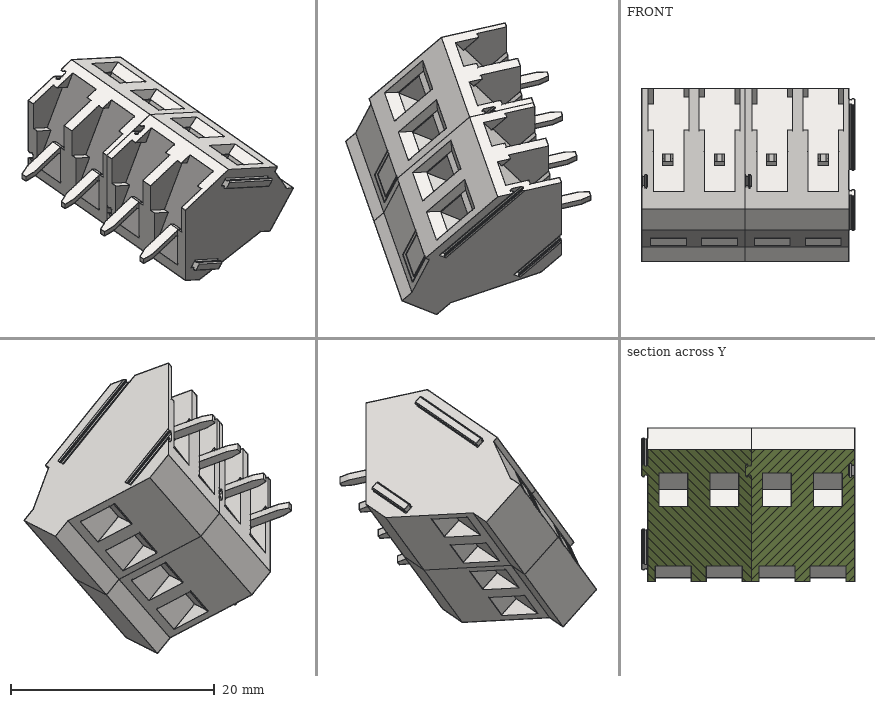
import cadquery as cq
import math


MODULE_COUNT = 2
MODULE_WIDTH = 10.16
HEIGHT = 17.0
ENTRY_FACE_OUT = 16.62
ENTRY_FACE_DOWN = 3.0
ENTRY_STEP = 0.55
SCREW_END_DOWN = 9.0
SCREW_END_OUT_LOW = 9.0
SCREW_END_OUT_HIGH = 14.0
LOW_SHOULDER_DOWN = 7.0
HIGH_SHOULDER_DOWN = 7.56
FRONT_BEVEL_OUT = 3.66
FRONT_BEVEL_DOWN = -0.7

POLE_COUNT = 2
CAVITY_PITCH = 5.0
FIRST_CAVITY_X = 2.65

POCKET_WIDTH = 3.0
POCKET_FLOOR_Z = 6.87
POCKET_TOP_DEPTH = 5.37

SIDE_SLOT_REACH = 0.5
SIDE_SLOT_OUT_LOW = 9.12
OUTER_SLOT_OUT_HIGH = 14.14
INNER_SLOT_OUT_HIGH = 14.87

FUNNEL_WIDTH = 3.6
FUNNEL_LENGTH = 5.5
FUNNEL_CENTRE_DOWN = -1.69
FUNNEL_DEPTH = 0.95
FUNNEL_FLOOR_WIDTH = 3.0
WIRE_HOLE_WIDTH = 2.8
WIRE_HOLE_LENGTH = 2.9
WIRE_HOLE_DEPTH = 3.0

UNDER_SLOT_WIDTH = 3.5
UNDER_SLOT_OUT_LOW = 6.31
UNDER_SLOT_OUT_HIGH = 8.49
UNDER_SLOT_ROOF_DOWN = 3.0

PIN_PITCH = MODULE_WIDTH / POLE_COUNT
FIRST_PIN_X = 2.57
PIN_WIDTH = 1.0
PIN_THICKNESS = 0.75
PIN_TOP_Z = 10.57
PIN_BEND_Y = 1.29
PIN_LENGTH = 3.64
PIN_TIP_LENGTH = 1.05
PIN_TIP_WIDTH = 0.5
PIN_ROOT = 1.5

FIELD_CENTRE_X = 2.47
FIELD_WIDTH = 3.5
FIELD_EDGE_Y = 15.0
FIELD_MARGIN_X = 0.33
FIELD_MARGIN_Y = 0.16
FIELD_STEP = 0.06

RAILS = [(15.13, 2.01, -7.04), (5.6, 0.83, -3.96)]
RAIL_HEIGHT = 0.6
RAIL_HALF_WIDTH = 0.455
RAIL_WAIST_HALF_WIDTH = 0.32
RAIL_WAIST_START = 0.1
RAIL_WAIST_END = 0.27
RAIL_HEAD_START = 0.36
RAIL_HEAD_BEVEL = 0.12
CLEAR = 30.0

ROOT2 = math.sqrt(2)


def turned(out, down):
    """(y, z) of a point given in the 45-degree frame."""
    return ((out + down) / ROOT2, (out - down) / ROOT2)


def prism(points, x_low, x_high):
    """Extrusion along X of a (y, z) outline."""
    plane = cq.Workplane("YZ", origin=(x_low, 0, 0))
    return plane.polyline(points).close().extrude(x_high - x_low)


def turned_block(out_low, out_high, down_low, down_high, x_low, x_high):
    """Box whose sides follow the 45-degree frame."""
    corners = [
        turned(out_low, down_low),
        turned(out_high, down_low),
        turned(out_high, down_high),
        turned(out_low, down_high),
    ]
    return prism(corners, x_low, x_high)


SLOPE_TOP = turned(ENTRY_FACE_OUT - ENTRY_STEP, ENTRY_FACE_DOWN)
SLOPE_FOOT = turned(SCREW_END_OUT_HIGH, HIGH_SHOULDER_DOWN)


def body_blank():
    outline = [
        (0, HEIGHT),
        (ENTRY_FACE_OUT * ROOT2 - HEIGHT, HEIGHT),
        turned(ENTRY_FACE_OUT, ENTRY_FACE_DOWN),
        SLOPE_TOP,
        SLOPE_FOOT,
        turned(SCREW_END_OUT_HIGH, SCREW_END_DOWN),
        turned(SCREW_END_OUT_LOW, SCREW_END_DOWN),
        turned(SCREW_END_OUT_LOW, LOW_SHOULDER_DOWN),
        turned(FRONT_BEVEL_OUT, FRONT_BEVEL_DOWN),
        (0, FRONT_BEVEL_OUT * ROOT2),
    ]
    return prism(outline, 0, MODULE_WIDTH)


def pocket_space(x_low, x_high):
    """Space between the front face and the leaning back wall."""
    wall = [(0, POCKET_FLOOR_Z), (POCKET_TOP_DEPTH, HEIGHT), (0, HEIGHT)]
    return prism(wall, x_low, x_high)


def front_pocket(x, left_slot_out, right_slot_out):
    half = POCKET_WIDTH / 2
    pocket = pocket_space(x - half, x + half)
    sides = [
        (x - half - SIDE_SLOT_REACH, x - half, left_slot_out),
        (x + half, x + half + SIDE_SLOT_REACH, right_slot_out),
    ]
    for x_low, x_high, out_high in sides:
        slot = turned_block(SIDE_SLOT_OUT_LOW, out_high, -CLEAR, CLEAR, x_low, x_high)
        pocket = pocket.union(slot.intersect(pocket_space(x_low, x_high)))
    return pocket


def wire_entry(x):
    floor_length = FUNNEL_LENGTH - 2 * FUNNEL_DEPTH
    floor_out = ENTRY_FACE_OUT - FUNNEL_DEPTH
    y, z = turned(floor_out, FUNNEL_CENTRE_DOWN)
    floor = cq.Plane(origin=(x, y, z), xDir=(1, 0, 0), normal=(0, 1, 1))
    funnel = (
        cq.Workplane(floor)
        .rect(FUNNEL_FLOOR_WIDTH, floor_length)
        .workplane(offset=FUNNEL_DEPTH)
        .rect(FUNNEL_WIDTH, FUNNEL_LENGTH)
        .loft(ruled=True)
    )
    hole_down = FUNNEL_CENTRE_DOWN + floor_length / 2
    hole = turned_block(
        floor_out - WIRE_HOLE_DEPTH,
        floor_out,
        hole_down - WIRE_HOLE_LENGTH,
        hole_down,
        x - WIRE_HOLE_WIDTH / 2,
        x + WIRE_HOLE_WIDTH / 2,
    )
    return funnel.union(hole)


def under_slot(x):
    half = UNDER_SLOT_WIDTH / 2
    return turned_block(
        UNDER_SLOT_OUT_LOW, UNDER_SLOT_OUT_HIGH, UNDER_SLOT_ROOF_DOWN, CLEAR, x - half, x + half
    )


def solder_pin(x):
    """Flat pin with a tapered tip, bent 45 degrees downwards into the pocket wall."""
    bottom_z = PIN_TOP_Z - PIN_THICKNESS
    bottom_bend_y = PIN_BEND_Y - PIN_THICKNESS * math.tan(math.pi / 8)
    side = [
        (-PIN_LENGTH, PIN_TOP_Z),
        (PIN_BEND_Y, PIN_TOP_Z),
        (PIN_BEND_Y + PIN_ROOT, PIN_TOP_Z - PIN_ROOT),
        (bottom_bend_y + PIN_ROOT, bottom_z - PIN_ROOT),
        (bottom_bend_y, bottom_z),
        (-PIN_LENGTH, bottom_z),
    ]
    half = PIN_WIDTH / 2
    tip_half = PIN_TIP_WIDTH / 2
    plan = [
        (x - tip_half, -PIN_LENGTH),
        (x + tip_half, -PIN_LENGTH),
        (x + half, PIN_TIP_LENGTH - PIN_LENGTH),
        (x + half, CLEAR),
        (x - half, CLEAR),
        (x - half, PIN_TIP_LENGTH - PIN_LENGTH),
    ]
    plan_prism = cq.Workplane("XY").polyline(plan).close().extrude(HEIGHT)
    return prism(side, x - half, x + half).intersect(plan_prism)


def field_recess(margin_x, edge_y, depth):
    """Shallow recess in the slope, from under the ledge down to edge_y."""
    slope_y = SLOPE_FOOT[0] - SLOPE_TOP[0]
    slope_z = SLOPE_FOOT[1] - SLOPE_TOP[1]
    edge_z = SLOPE_TOP[1] + (edge_y - SLOPE_TOP[0]) * slope_z / slope_y
    steepness = math.hypot(slope_y, slope_z)
    inward_y = depth * slope_z / steepness
    inward_z = -depth * slope_y / steepness
    outline = [
        SLOPE_TOP,
        (edge_y, edge_z),
        (edge_y + inward_y, edge_z + inward_z),
        (SLOPE_TOP[0] + inward_y, SLOPE_TOP[1] + inward_z),
    ]
    half = FIELD_WIDTH / 2 - margin_x
    return prism(outline, FIELD_CENTRE_X - half, FIELD_CENTRE_X + half)


def rail(x, out, down_start, down_end):
    """Waisted rail standing on the plane at x, between two places along "down"."""
    half_section = [
        (0, RAIL_HALF_WIDTH),
        (RAIL_WAIST_START, RAIL_WAIST_HALF_WIDTH),
        (RAIL_WAIST_END, RAIL_WAIST_HALF_WIDTH),
        (RAIL_HEAD_START, RAIL_HALF_WIDTH),
        (RAIL_HEIGHT - RAIL_HEAD_BEVEL, RAIL_HALF_WIDTH),
        (RAIL_HEIGHT, RAIL_HALF_WIDTH - RAIL_HEAD_BEVEL),
    ]
    mirrored = [(height, -half) for height, half in reversed(half_section)]
    y, z = turned(out, down_start)
    end_plane = cq.Plane(origin=(x, y, z), xDir=(1, 0, 0), normal=(0, -1, 1))
    section = cq.Workplane(end_plane).polyline(half_section + mirrored).close()
    return section.extrude(down_start - down_end)


def terminal_module():
    body = body_blank()
    for pole in range(POLE_COUNT):
        x = FIRST_CAVITY_X + pole * CAVITY_PITCH
        left_is_outer = pole == 0
        right_is_outer = pole == POLE_COUNT - 1
        left_out = OUTER_SLOT_OUT_HIGH if left_is_outer else INNER_SLOT_OUT_HIGH
        right_out = OUTER_SLOT_OUT_HIGH if right_is_outer else INNER_SLOT_OUT_HIGH
        body = body.cut(front_pocket(x, left_out, right_out))
        body = body.cut(wire_entry(x))
        body = body.cut(under_slot(x))
    for pole in range(POLE_COUNT):
        body = body.union(solder_pin(FIRST_PIN_X + pole * PIN_PITCH))
    body = body.cut(field_recess(0, FIELD_EDGE_Y, FIELD_STEP))
    body = body.cut(field_recess(FIELD_MARGIN_X, FIELD_EDGE_Y - FIELD_MARGIN_Y, 2 * FIELD_STEP))
    for out, lower_end, upper_end in RAILS:
        body = body.cut(rail(0, out, lower_end, -CLEAR))
        body = body.union(rail(MODULE_WIDTH, out, lower_end, upper_end))
    return body


module = terminal_module()
modules = [module.translate((i * MODULE_WIDTH, 0, 0)) for i in range(MODULE_COUNT)]
result = cq.Compound.makeCompound([copy.solids().val() for copy in modules])